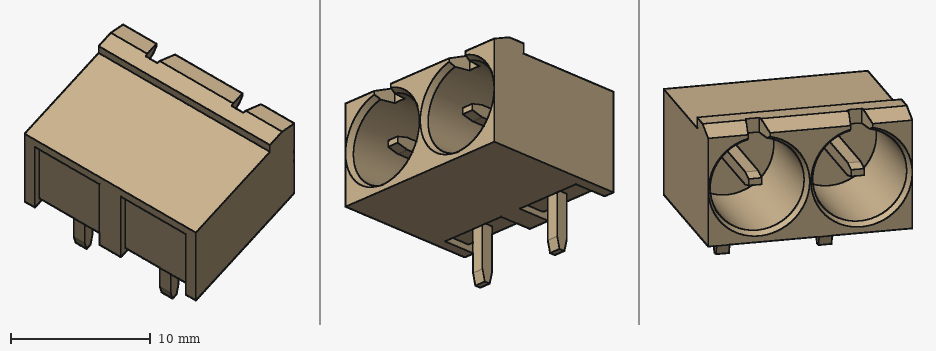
import cadquery as cq


length = 15.18
depth = 12.0
body_height = 8.0
ridge_height = 0.8
ridge_width = 2.99
bevel_run = 1.5
bevel_drop = 0.6
total_height = body_height + ridge_height

pole_pitch = 7.62
pole_count = 2
first_pole = (length - pole_pitch * (pole_count - 1)) / 2
pole_positions = [first_pole + i * pole_pitch for i in range(pole_count)]

recess_width = 5.72
recess_top = 7.13
recess_depth = 0.53
hollow_height = 0.53
hollow_depth = 2.88

pin_size = 0.97
pin_center_y = 1.95
pin_length = 4.1
pin_tip_length = 0.95
pin_tip_size = 0.5
pin_tip_y = 10.96

socket_radius = 3.49
socket_axis_z = 4.24
socket_floor_y = 3.34
flare_depth = 0.52
flare_growth = 0.27

slot_back_width = 1.64
slot_front_width = 1.02
slot_depth = 1.75


def make_housing():
    bevel_start = depth - bevel_run
    return (
        cq.Workplane("YZ")
        .moveTo(0, 0)
        .lineTo(depth, 0)
        .lineTo(depth, total_height - bevel_drop)
        .lineTo(bevel_start, total_height)
        .lineTo(depth - ridge_width, total_height)
        .lineTo(depth - ridge_width, body_height)
        .lineTo(0, body_height)
        .close()
        .extrude(length)
    )


def box_between(x_center, width, y_range, z_range):
    """Box centred on x_center, spanning the given Y and Z ranges."""
    y0, y1 = y_range
    z0, z1 = z_range
    return cq.Workplane("XY").box(width, y1 - y0, z1 - z0, centered=(True, False, False)).translate(
        (x_center, y0, z0)
    )


def make_front_recess(x):
    face_panel = box_between(x, recess_width, (0, recess_depth), (0, recess_top))
    hollow = box_between(x, recess_width, (0, hollow_depth), (0, hollow_height))
    return face_panel.union(hollow)


def make_socket(x):
    """Flared bore: its half section revolved about the socket axis."""
    mouth_radius = socket_radius + flare_growth
    return (
        cq.Workplane("XY")
        .moveTo(0, depth)
        .lineTo(mouth_radius, depth)
        .lineTo(socket_radius, depth - flare_depth)
        .lineTo(socket_radius, socket_floor_y)
        .lineTo(0, socket_floor_y)
        .close()
        .revolve(360, (0, 0, 0), (0, 1, 0))
        .translate((x, 0, socket_axis_z))
    )


def make_keying_slot(x):
    """Slot above the socket axis that narrows away from the socket face."""
    slot_end_y = depth - slot_depth
    return (
        cq.Workplane("XY")
        .workplane(offset=socket_axis_z)
        .moveTo(x - slot_back_width / 2, depth)
        .lineTo(x + slot_back_width / 2, depth)
        .lineTo(x + slot_front_width / 2, slot_end_y)
        .lineTo(x - slot_front_width / 2, slot_end_y)
        .close()
        .extrude(total_height - socket_axis_z)
    )


def make_pin(x):
    """L-shaped pin: one leg points down for soldering, the other points along the socket axis."""
    half = pin_size / 2
    half_tip = pin_tip_size / 2
    solder_tip_z = -pin_length
    solder_shoulder_z = solder_tip_z + pin_tip_length
    plug_shoulder_y = pin_tip_y - pin_tip_length
    return (
        cq.Workplane("YZ")
        .moveTo(pin_center_y - half, socket_axis_z + half)
        .lineTo(pin_center_y - half, solder_shoulder_z)
        .lineTo(pin_center_y - half_tip, solder_tip_z)
        .lineTo(pin_center_y + half_tip, solder_tip_z)
        .lineTo(pin_center_y + half, solder_shoulder_z)
        .lineTo(pin_center_y + half, socket_axis_z - half)
        .lineTo(plug_shoulder_y, socket_axis_z - half)
        .lineTo(pin_tip_y, socket_axis_z - half_tip)
        .lineTo(pin_tip_y, socket_axis_z + half_tip)
        .lineTo(plug_shoulder_y, socket_axis_z + half)
        .close()
        .extrude(half, both=True)
        .translate((x, 0, 0))
    )


result = make_housing()
for pole_x in pole_positions:
    result = result.cut(make_front_recess(pole_x))
    result = result.cut(make_socket(pole_x))
    result = result.cut(make_keying_slot(pole_x))
    result = result.union(make_pin(pole_x))